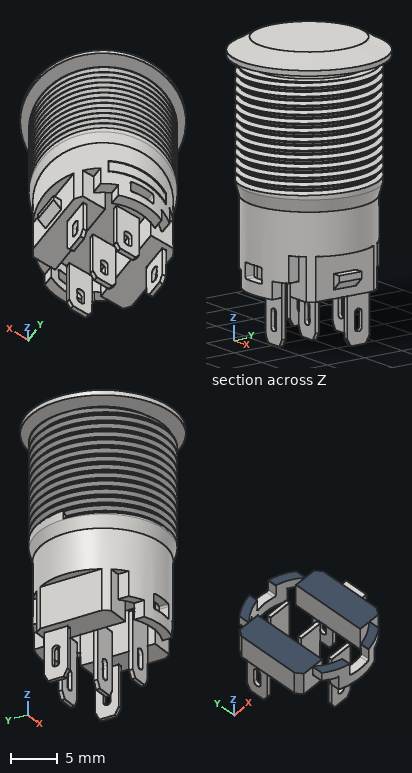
import cadquery as cq


overall_height = 33.5
bezel_top_z = 27.5
bezel_rim_z = 26.1
bezel_bottom_z = 25.5
thread_top_z = 24.5
cone_top_z = 11.52
joint_z = 10.0
shoulder_z = 5.05
step_z = 2.0

bezel_diameter = 17.8
bezel_radius = bezel_diameter / 2
bezel_face_radius = 6.4
neck_radius = 6.33
thread_radius = 7.97

thread_depth = 0.5
groove_root_width = 0.17
groove_mouth_width = 0.87
groove_start_z = 12.03
groove_turns = 13
groove_rise = 13.0
thread_pitch = groove_rise / groove_turns
groove_start_angle = 180.0
groove_overshoot = 0.07

housing_radius = 7.55
housing_inner_radius = 6.4
pillar_outer_x = 6.45
pillar_inner_x = 2.98
pillar_half_y = 4.72
upper_tongue_half_width = 4.5
lower_tongue_half_width = 2.8

window_bottom_z = 1.5
window_top_z = 3.35
window_corner_radius = 0.25

label_bottom_z = 4.52
label_height = 2.0
label_width = 7.5
label_depth = 0.1

latch_top_z = 2.78
latch_reach = 1.0
latch_tip_height = 0.77

terminal_width = 2.98
terminal_thickness = 0.5
terminal_top_z = step_z
terminal_bottom_z = bezel_top_z - overall_height
terminal_tip_width = 1.98
terminal_taper_height = 0.87
eyelet_width = 0.95
eyelet_length = 2.55
eyelet_z = -3.2
side_terminal_x = 5.15
side_terminal_y = 2.58
row_terminal_y = pillar_half_y - terminal_thickness / 2

window_width = terminal_width
latch_width = terminal_width


def centred_box(x_size, y_size, bottom_z, top_z):
    """Box centred on the Z axis between two heights."""
    return (
        cq.Workplane("XY", origin=(0, 0, bottom_z))
        .rect(x_size, y_size)
        .extrude(top_z - bottom_z)
    )


def disc(radius, bottom_z, top_z):
    """Solid cylinder on the Z axis between two heights."""
    return cq.Workplane("XY", origin=(0, 0, bottom_z)).circle(radius).extrude(top_z - bottom_z)



def thread_groove():
    """Right-hand helical cutter with a trapezoid section that is open past the crest."""
    root_radius = thread_radius - thread_depth
    flank_run = (groove_mouth_width - groove_root_width) / 2 / thread_depth
    half_root = groove_root_width / 2
    half_outer = half_root + flank_run * (thread_depth + groove_overshoot)
    outer_radius = thread_radius + groove_overshoot
    helix = cq.Wire.makeHelix(thread_pitch, groove_rise, root_radius)
    cutter = (
        cq.Workplane("XZ")
        .moveTo(root_radius, -half_root)
        .lineTo(outer_radius, -half_outer)
        .lineTo(outer_radius, half_outer)
        .lineTo(root_radius, half_root)
        .close()
        .sweep(cq.Workplane(obj=helix), isFrenet=True)
    )
    cutter = cutter.rotate((0, 0, 0), (0, 0, 1), groove_start_angle)
    return cutter.translate((0, 0, groove_start_z))


def make_bushing():
    """Bezel, neck, threaded barrel and the cone that runs down to the housing."""
    barrel = disc(thread_radius, cone_top_z, thread_top_z).cut(thread_groove())
    cone = (
        cq.Workplane("XZ")
        .moveTo(0, joint_z)
        .lineTo(housing_radius, joint_z)
        .lineTo(thread_radius, cone_top_z)
        .lineTo(0, cone_top_z)
        .close()
        .revolve(360, (0, 0), (0, 1))
    )
    head = (
        cq.Workplane("XZ")
        .moveTo(0, thread_top_z)
        .lineTo(neck_radius, thread_top_z)
        .lineTo(neck_radius, bezel_bottom_z)
        .lineTo(bezel_radius, bezel_bottom_z)
        .lineTo(bezel_radius, bezel_rim_z)
        .lineTo(bezel_face_radius, bezel_top_z)
        .lineTo(0, bezel_top_z)
        .close()
        .revolve(360, (0, 0), (0, 1))
    )
    return barrel.union(cone).union(head)



def terminal_blank():
    """Flat terminal across X, centred on the Z axis, with a tapered tip and an eyelet slot."""
    half_width = terminal_width / 2
    half_tip = terminal_tip_width / 2
    taper_top_z = terminal_bottom_z + terminal_taper_height
    blade = (
        cq.Workplane("XZ")
        .moveTo(-half_width, terminal_top_z)
        .lineTo(-half_width, taper_top_z)
        .lineTo(-half_tip, terminal_bottom_z)
        .lineTo(half_tip, terminal_bottom_z)
        .lineTo(half_width, taper_top_z)
        .lineTo(half_width, terminal_top_z)
        .close()
        .extrude(terminal_thickness / 2, both=True)
    )
    eyelet = (
        cq.Workplane("XZ")
        .center(0, eyelet_z)
        .slot2D(eyelet_length, eyelet_width, 90)
        .extrude(terminal_thickness, both=True)
    )
    return blade.cut(eyelet)


def make_row_terminals():
    """Three terminals one behind the other along Y, between the pillars."""
    return [terminal_blank().translate((0, y, 0)) for y in (-row_terminal_y, 0, row_terminal_y)]


def make_side_terminals():
    """Two terminals turned across Y, one in each pillar."""
    turned = terminal_blank().rotate((0, 0, 0), (0, 0, 1), 90)
    return [turned.translate((x, side_terminal_y, 0)) for x in (-side_terminal_x, side_terminal_x)]



def make_pillars():
    """Two pillars with flat outer sides, left and right of the central gap."""
    block = centred_box(2 * pillar_outer_x, 2 * pillar_half_y, 0, shoulder_z)
    gap = centred_box(2 * pillar_inner_x, 2 * pillar_half_y, 0, shoulder_z)
    return block.cut(gap).intersect(disc(housing_radius, 0, shoulder_z))


def make_tongues():
    """Front and back wall pieces of the hollow skirt, narrower below the step."""
    skirt = disc(housing_radius, 0, shoulder_z).cut(disc(housing_inner_radius, 0, shoulder_z))
    upper = centred_box(2 * upper_tongue_half_width, 2 * housing_radius, step_z, shoulder_z)
    lower = centred_box(2 * lower_tongue_half_width, 2 * housing_radius, 0, step_z)
    return skirt.intersect(upper.union(lower))


def window_cutter():
    """Round-cornered opening through both tongues."""
    opening = centred_box(window_width, 2 * housing_radius, window_bottom_z, window_top_z)
    return opening.edges("|Y").fillet(window_corner_radius)


def label_cutter():
    """Recess of even depth in the curved +Y wall."""
    top_z = label_bottom_z + label_height
    band = disc(housing_radius, label_bottom_z, top_z)
    band = band.cut(disc(housing_radius - label_depth, label_bottom_z, top_z))
    patch = centred_box(label_width, 2 * housing_radius, label_bottom_z, top_z)
    return band.intersect(patch.translate((0, housing_radius, 0)))


def make_latch():
    """Hook with a 45-degree lead-in below its tip."""
    tip_x = pillar_outer_x + latch_reach
    tip_bottom_z = latch_top_z - latch_tip_height
    return (
        cq.Workplane("XZ")
        .moveTo(pillar_outer_x, latch_top_z)
        .lineTo(tip_x, latch_top_z)
        .lineTo(tip_x, tip_bottom_z)
        .lineTo(pillar_outer_x, tip_bottom_z - latch_reach)
        .close()
        .extrude(latch_width / 2, both=True)
    )


def make_housing(embedded_terminals):
    """Round body on pillars and tongues, with slots for the terminals that go into it."""
    body = disc(housing_radius, shoulder_z, joint_z).union(make_pillars()).union(make_tongues())
    body = body.union(make_latch()).cut(window_cutter()).cut(label_cutter())
    for terminal in embedded_terminals:
        body = body.cut(terminal)
    return body


bushing = make_bushing()
row_terminals = make_row_terminals()
side_terminals = make_side_terminals()
housing = make_housing(side_terminals)
terminals = row_terminals + side_terminals

result = cq.Compound.makeCompound([
    bushing.solids().val(),
    housing.solids().val(),
    *[terminal.solids().val() for terminal in terminals],
])